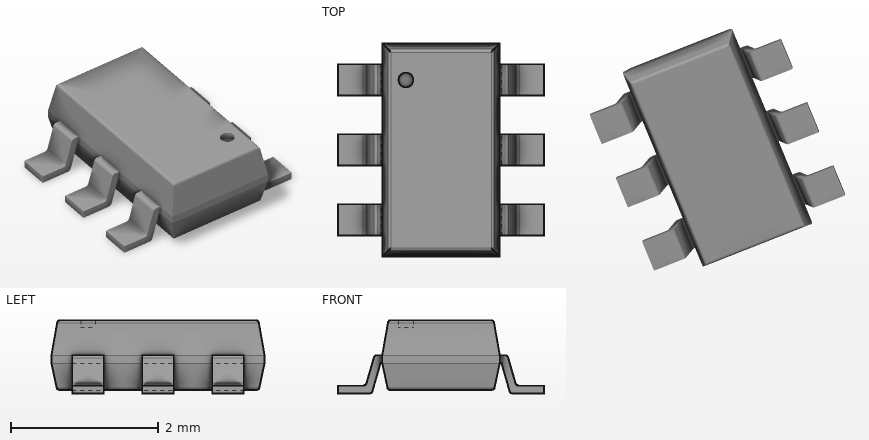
import cadquery as cq
import math

body_length = 2.9
body_width = 1.6
lead_span = 2.8
total_height = 1.0
standoff = 0.05

lead_thickness = 0.11
lead_width = 0.43
lead_pitch = 0.95
leads_per_side = 3
foot_length = 0.377
lead_lean = 16.0
bend_radius = 0.05

band_top = (total_height + standoff) / 2
band_bottom = band_top - lead_thickness
upper_draft = 10.0
lower_draft = 12.0
edge_radius = 0.044

mark_diameter = 0.2
mark_depth = 0.1
mark_x = -0.478
mark_y = lead_pitch


def body_block(start_z, height, draft=0.0):
    """Rectangular block of the full body outline, drafted inward away from start_z."""
    outline = cq.Workplane("XY").workplane(offset=start_z).rect(body_width, body_length)
    return outline.extrude(height, taper=draft)


def make_body():
    """Moulded body: a straight band between two drafted halves, with a pin-one dimple."""
    band = body_block(band_bottom, lead_thickness)
    upper_half = body_block(band_top, total_height - band_top, upper_draft)
    lower_half = body_block(band_bottom, standoff - band_bottom, lower_draft)
    body = band.union(upper_half).union(lower_half)
    body = body.faces(">Z or <Z").edges().fillet(edge_radius)

    mark_centre = (mark_x, mark_y, total_height - mark_depth)
    mark = cq.Workplane("XY", origin=mark_centre).circle(mark_diameter / 2).extrude(mark_depth)
    return body.cut(mark)


def make_left_lead(y):
    """Gull-wing lead on the -X side, centred at y and ending flush on the body band."""
    tip_x = -lead_span / 2
    root_x = -body_width / 2
    foot_bend_x = tip_x + foot_length
    shoulder_bend_x = foot_bend_x + (band_top - lead_thickness) * math.tan(math.radians(lead_lean))
    mitre_shift = lead_thickness * math.tan(math.radians(90 - lead_lean) / 2)

    profile = [
        (tip_x, 0),
        (tip_x, lead_thickness),
        (foot_bend_x, lead_thickness),
        (shoulder_bend_x, band_top),
        (root_x, band_top),
        (root_x, band_bottom),
        (shoulder_bend_x + mitre_shift, band_bottom),
        (foot_bend_x + mitre_shift, 0),
    ]
    sheet_section = cq.Workplane("XZ", origin=(0, y, 0)).polyline(profile).close()
    lead = sheet_section.extrude(lead_width / 2, both=True)

    rounded_corners = [
        (foot_bend_x, lead_thickness),
        (shoulder_bend_x, band_top),
        (foot_bend_x + mitre_shift, 0),
    ]
    for x, z in rounded_corners:
        corner_edge = cq.selectors.NearestToPointSelector((x, y, z))
        lead = lead.edges(corner_edge).fillet(bend_radius)
    return lead


body = make_body()

leads = []
for row in range(leads_per_side):
    lead_y = (row - (leads_per_side - 1) / 2) * lead_pitch
    left_lead = make_left_lead(lead_y)
    right_lead = left_lead.mirror("YZ")
    leads += [left_lead.val(), right_lead.val()]

result = cq.Compound.makeCompound([body.val(), *leads])